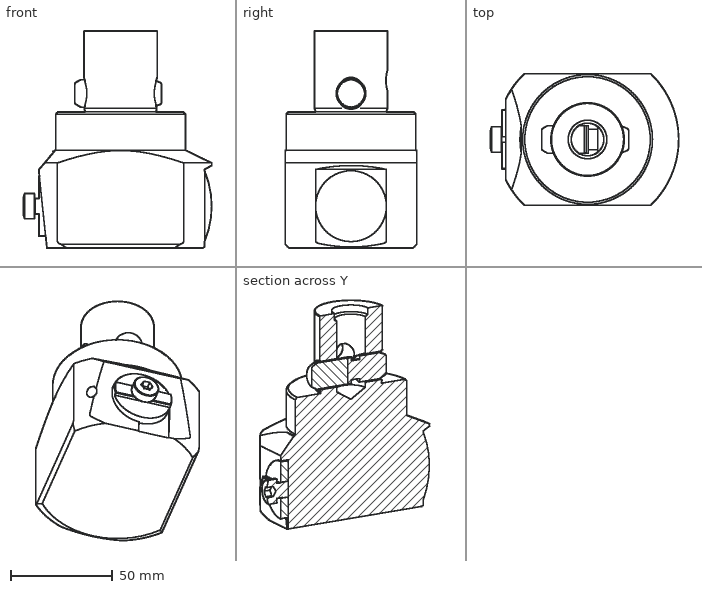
import cadquery as cq
import math


BODY_RADIUS = 45.0
BODY_WIDTH = 65.0
RIM_Z = 42.0
BASE_CHAMFER_RADIAL = 4.5
BASE_CHAMFER_ANGLE = 30.0
BASE_FILLET = 1.7
FLAT_CHAMFER = 1.9

FLANGE_RADIUS = 32.0
FLANGE_BOTTOM_Z = 48.3
FLANGE_TOP_Z = 67.2
FLANGE_CHAMFER = 1.1
SHANK_RADIUS = 18.1
SHANK_TOP_Z = 107.2
SHANK_CHAMFER = 0.3
NECK_RADIUS = 17.5
NECK_TOP_Z = 69.0

BORE_RADIUS = 8.0
COUNTERBORE_RADIUS = 9.5
COUNTERBORE_DEPTH = 3.4
BORE_STEP_HEIGHT = 0.9
BORE_END_Z = 66.5
DRILL_CONE_RATIO = 0.6

PIN_Z = 76.3
PIN_HOLE_RADIUS = 7.2
PIN_HOLE_SINK = 0.8
ACCESS_Z = 82.7
ACCESS_RADIUS = 5.4

FACE_TOP_X = -40.4
FACE_TOP_Z = 38.6
FACE_TILT = 6.0
BEVEL_RUN = 7.7
BEVEL_RISE = 9.1

FLAT_X = 41.5
FLAT_TOP_Z = 38.8
LIP_LOWER_Z = 40.7

OUTLET_AZIMUTH = 34.0
OUTLET_Z = 18.8
OUTLET_RADIUS = 2.6
OUTLET_SLOPE = 45.0

DIAL_Z = 20.7
DIAL_RADIUS = 14.8
DIAL_RECESS_RADIUS = 15.0
DIAL_SEAT_X = -36.0
SLOT_OVERSHOOT = 0.5
DIAL_FACE_X = -40.3
BAR_FACE_X = -42.3
BAR_HEIGHT = 7.5
BAR_CHAMFER = 0.3

SCREW_END_X = -48.0
SCREW_HEAD_RADIUS = 6.3
SCREW_END_RADIUS = 4.0
SCREW_CROWN = 0.5
SCREW_CHAMFER = 0.3
SCREW_BACK_CHAMFER = 0.3
SCREW_STEM_RADIUS = 4.0
SOCKET_ACROSS_FLATS = 5.0
SOCKET_DEPTH = 3.2

PIN_RADIUS = 6.9
PIN_TIP_RADIUS = 5.1
PIN_TIP_FILLET = 1.3
LEFT_PIN_SHOULDER_FILLET = 1.2
PIN_PARTING_X = -1.7
LEFT_PIN_TIP_X = -22.6
LEFT_PIN_CONE = 3.0
RIGHT_PIN_TIP_X = 20.3
RIGHT_PIN_CONE = 4.1
COLLAR_CHAMFER = 0.3
COLLAR_CHAMFER_LENGTH = 1.0
COLLAR_END_X = 0.4
PIN_NECK_RADIUS = 5.0
PIN_NECK_END_X = 4.9

EDGE_MARGIN = 0.1


def revolve_about_x(profile, axis_z):
    """Revolve (x, radius) points about the line parallel to X at height axis_z."""
    turned = cq.Workplane("XY").polyline(profile).close().revolve(360, (0, 0, 0), (1, 0, 0))
    return turned.translate((0, 0, axis_z))


def revolve_about_z(profile):
    """Revolve (radius, z) points about the tool axis."""
    return cq.Workplane("XZ").polyline(profile).close().revolve(360, (0, 0, 0), (0, 1, 0))


def cylinder_along_x(x_start, x_end, radius, axis_z):
    return revolve_about_x([(x_start, 0), (x_end, 0), (x_end, radius), (x_start, radius)], axis_z)


def body_blank():
    """Round body with a conical top and a chamfered, rounded base, cut to two flats in Y."""
    chamfer_height = BASE_CHAMFER_RADIAL * math.tan(math.radians(BASE_CHAMFER_ANGLE))
    round_body = revolve_about_z([
        (0, 0),
        (BODY_RADIUS - BASE_CHAMFER_RADIAL, 0),
        (BODY_RADIUS, chamfer_height),
        (BODY_RADIUS, RIM_Z),
        (FLANGE_RADIUS, FLANGE_BOTTOM_Z),
        (0, FLANGE_BOTTOM_Z),
    ])
    chamfer_top_edge = cq.selectors.BoxSelector(
        (-2 * BODY_RADIUS, -2 * BODY_RADIUS, chamfer_height - EDGE_MARGIN),
        (2 * BODY_RADIUS, 2 * BODY_RADIUS, chamfer_height + EDGE_MARGIN),
        boundingbox=True,
    )
    round_body = round_body.edges(chamfer_top_edge).fillet(BASE_FILLET)
    flats = (
        cq.Workplane("XY")
        .box(2 * BODY_RADIUS, BODY_WIDTH, FLANGE_BOTTOM_Z, centered=(True, True, False))
        .edges("|X and <Z")
        .chamfer(FLAT_CHAMFER)
    )
    return round_body.intersect(flats)


def flange_and_shank():
    return revolve_about_z([
        (0, FLANGE_BOTTOM_Z),
        (FLANGE_RADIUS, FLANGE_BOTTOM_Z),
        (FLANGE_RADIUS, FLANGE_TOP_Z - FLANGE_CHAMFER),
        (FLANGE_RADIUS - FLANGE_CHAMFER, FLANGE_TOP_Z),
        (NECK_RADIUS, FLANGE_TOP_Z),
        (SHANK_RADIUS, NECK_TOP_Z),
        (SHANK_RADIUS, SHANK_TOP_Z - SHANK_CHAMFER),
        (SHANK_RADIUS - SHANK_CHAMFER, SHANK_TOP_Z),
        (0, SHANK_TOP_Z),
    ])


def sloping_face_cut():
    """Wedge that leaves the tilted dial face and the bevel above it."""
    outside_x = -2 * BODY_RADIUS
    face_bottom_x = FACE_TOP_X + FACE_TOP_Z * math.tan(math.radians(FACE_TILT))
    return (
        cq.Workplane("XZ")
        .polyline([
            (face_bottom_x, 0),
            (FACE_TOP_X, FACE_TOP_Z),
            (FACE_TOP_X + BEVEL_RUN, FACE_TOP_Z + BEVEL_RISE),
            (outside_x, FACE_TOP_Z + BEVEL_RISE),
            (outside_x, 0),
        ])
        .close()
        .extrude(BODY_RADIUS, both=True)
    )


def far_flat_cut():
    """Cut that leaves the flat on +X below an overhanging lip."""
    outside_x = 2 * BODY_RADIUS
    lip_slope = (LIP_LOWER_Z - FLAT_TOP_Z) / (BODY_RADIUS - FLAT_X)
    return (
        cq.Workplane("XZ")
        .polyline([
            (FLAT_X, 0),
            (FLAT_X, FLAT_TOP_Z),
            (outside_x, FLAT_TOP_Z + lip_slope * (outside_x - FLAT_X)),
            (outside_x, 0),
        ])
        .close()
        .extrude(BODY_RADIUS, both=True)
    )


def domed_pad():
    """Spherical cap on the +X flat, opposite the dial, that rises to the body radius."""
    rim_angle = math.acos(FLAT_X / BODY_RADIUS)
    middle = (BODY_RADIUS * math.cos(rim_angle / 2), BODY_RADIUS * math.sin(rim_angle / 2))
    return (
        cq.Workplane("XY")
        .moveTo(FLAT_X, 0)
        .lineTo(BODY_RADIUS, 0)
        .threePointArc(middle, (FLAT_X, BODY_RADIUS * math.sin(rim_angle)))
        .close()
        .revolve(360, (0, 0, 0), (1, 0, 0))
        .translate((0, 0, DIAL_Z))
    )


def dial_recess():
    """Round recess for the dial, with an open slot running from one half of it to the bottom."""
    pocket = cylinder_along_x(-BODY_RADIUS, DIAL_SEAT_X, DIAL_RECESS_RADIUS, DIAL_Z)
    slot = cq.Workplane("XY").box(
        DIAL_SEAT_X + BODY_RADIUS, DIAL_RECESS_RADIUS + SLOT_OVERSHOOT, DIAL_Z, centered=False
    )
    return pocket.union(slot.translate((-BODY_RADIUS, -DIAL_RECESS_RADIUS, 0)))


def shank_bore():
    """Counterbored bore with a drill-cone bottom below the cross hole."""
    step_z = SHANK_TOP_Z - COUNTERBORE_DEPTH
    return revolve_about_z([
        (0, BORE_END_Z - BORE_RADIUS * DRILL_CONE_RATIO),
        (BORE_RADIUS, BORE_END_Z),
        (BORE_RADIUS, step_z - BORE_STEP_HEIGHT),
        (COUNTERBORE_RADIUS, step_z),
        (COUNTERBORE_RADIUS, SHANK_TOP_Z),
        (0, SHANK_TOP_Z),
    ])


def cross_hole():
    """Hole through the shank along X, countersunk at both mouths."""
    sink_start = SHANK_RADIUS - PIN_HOLE_SINK
    mouth_radius = PIN_HOLE_RADIUS + PIN_HOLE_SINK
    return revolve_about_x(
        [
            (-SHANK_RADIUS, 0),
            (-SHANK_RADIUS, mouth_radius),
            (-sink_start, PIN_HOLE_RADIUS),
            (sink_start, PIN_HOLE_RADIUS),
            (SHANK_RADIUS, mouth_radius),
            (SHANK_RADIUS, 0),
        ],
        PIN_Z,
    )


def access_hole():
    """Hole from the +Y side of the shank into the bore."""
    return cq.Workplane("XZ", origin=(0, 0, ACCESS_Z)).circle(ACCESS_RADIUS).extrude(-SHANK_RADIUS)


def coolant_outlet():
    """Channel from the -X, +Y wall up to the drill cone of the bore on the tool axis."""
    azimuth = math.radians(OUTLET_AZIMUTH)
    slope = math.radians(OUTLET_SLOPE)
    outward = (-math.cos(azimuth), math.sin(azimuth))
    mouth = cq.Vector(BODY_RADIUS * outward[0], BODY_RADIUS * outward[1], OUTLET_Z)
    inward = cq.Vector(
        -outward[0] * math.cos(slope),
        -outward[1] * math.cos(slope),
        math.sin(slope),
    )
    length = BODY_RADIUS / math.cos(slope)
    lead = 2 * OUTLET_RADIUS
    return cq.Workplane(
        cq.Solid.makeCylinder(OUTLET_RADIUS, length + lead, mouth - inward * lead, inward)
    )


def make_housing():
    body = body_blank().cut(sloping_face_cut()).cut(far_flat_cut()).union(domed_pad())
    body = body.cut(dial_recess()).cut(coolant_outlet())
    housing = body.union(flange_and_shank())
    return housing.cut(shank_bore()).cut(cross_hole()).cut(access_hole())


def make_dial():
    """Disc with a raised, chamfered bar across it along Y and a hole for the screw stem."""
    disc = cylinder_along_x(DIAL_FACE_X, DIAL_SEAT_X, DIAL_RADIUS, DIAL_Z)
    bar_depth = DIAL_FACE_X - BAR_FACE_X
    bar = (
        cq.Workplane("XY")
        .box(bar_depth, 2 * DIAL_RADIUS, BAR_HEIGHT)
        .translate(((DIAL_FACE_X + BAR_FACE_X) / 2, 0, DIAL_Z))
        .intersect(cylinder_along_x(BAR_FACE_X, DIAL_FACE_X, DIAL_RADIUS, DIAL_Z))
        .faces("<X")
        .chamfer(BAR_CHAMFER)
    )
    stem_hole = cylinder_along_x(BAR_FACE_X, DIAL_SEAT_X, SCREW_STEM_RADIUS, DIAL_Z)
    return disc.union(bar).cut(stem_hole)


def hex_socket():
    """Hexagonal socket with a conical drill bottom."""
    corner_radius = SOCKET_ACROSS_FLATS / math.sqrt(3)
    cone_start_x = SCREW_END_X + SOCKET_DEPTH
    cone_tip_x = cone_start_x + corner_radius * DRILL_CONE_RATIO
    drilled = revolve_about_x(
        [
            (SCREW_END_X, 0),
            (SCREW_END_X, corner_radius),
            (cone_start_x, corner_radius),
            (cone_tip_x, 0),
        ],
        DIAL_Z,
    )
    hexagon = (
        cq.Workplane("YZ", origin=(SCREW_END_X, 0, DIAL_Z))
        .polygon(6, 2 * corner_radius)
        .extrude(cone_tip_x - SCREW_END_X)
    )
    return hexagon.intersect(drilled)


def make_screw():
    """Crowned socket-head screw whose stem fills the hole in the dial."""
    turned = revolve_about_x(
        [
            (SCREW_END_X, 0),
            (SCREW_END_X, SCREW_END_RADIUS),
            (SCREW_END_X + SCREW_CROWN, SCREW_HEAD_RADIUS - SCREW_CHAMFER),
            (SCREW_END_X + SCREW_CROWN + SCREW_CHAMFER, SCREW_HEAD_RADIUS),
            (BAR_FACE_X - SCREW_BACK_CHAMFER, SCREW_HEAD_RADIUS),
            (BAR_FACE_X, SCREW_HEAD_RADIUS - SCREW_BACK_CHAMFER),
            (BAR_FACE_X, SCREW_STEM_RADIUS),
            (DIAL_SEAT_X, SCREW_STEM_RADIUS),
            (DIAL_SEAT_X, 0),
        ],
        DIAL_Z,
    )
    return turned.cut(hex_socket())


def make_left_pin():
    """Plain pin with a conical outer tip."""
    pin = revolve_about_x(
        [
            (LEFT_PIN_TIP_X, 0),
            (LEFT_PIN_TIP_X, PIN_TIP_RADIUS),
            (LEFT_PIN_TIP_X + LEFT_PIN_CONE, PIN_RADIUS),
            (PIN_PARTING_X, PIN_RADIUS),
            (PIN_PARTING_X, 0),
        ],
        PIN_Z,
    )
    shoulder_x = LEFT_PIN_TIP_X + LEFT_PIN_CONE
    shoulder_edge = cq.selectors.BoxSelector(
        (shoulder_x - EDGE_MARGIN, -2 * PIN_RADIUS, 0),
        (shoulder_x + EDGE_MARGIN, 2 * PIN_RADIUS, SHANK_TOP_Z),
        boundingbox=True,
    )
    pin = pin.edges(shoulder_edge).fillet(LEFT_PIN_SHOULDER_FILLET)
    return pin.faces("<X").edges().fillet(PIN_TIP_FILLET)


def make_right_pin():
    """Pin with a collar and a neck at its inner end and a conical outer tip."""
    pin = revolve_about_x(
        [
            (PIN_PARTING_X, 0),
            (PIN_PARTING_X, PIN_RADIUS - COLLAR_CHAMFER),
            (PIN_PARTING_X + COLLAR_CHAMFER_LENGTH, PIN_RADIUS),
            (COLLAR_END_X, PIN_RADIUS),
            (COLLAR_END_X, PIN_NECK_RADIUS),
            (PIN_NECK_END_X, PIN_NECK_RADIUS),
            (PIN_NECK_END_X, PIN_RADIUS),
            (RIGHT_PIN_TIP_X - RIGHT_PIN_CONE, PIN_RADIUS),
            (RIGHT_PIN_TIP_X, PIN_TIP_RADIUS),
            (RIGHT_PIN_TIP_X, 0),
        ],
        PIN_Z,
    )
    return pin.faces(">X").edges().fillet(PIN_TIP_FILLET)


housing = make_housing()
dial = make_dial()
screw = make_screw()
left_pin = make_left_pin()
right_pin = make_right_pin()

result = cq.Compound.makeCompound([
    housing.val(),
    dial.val(),
    screw.val(),
    left_pin.val(),
    right_pin.val(),
])